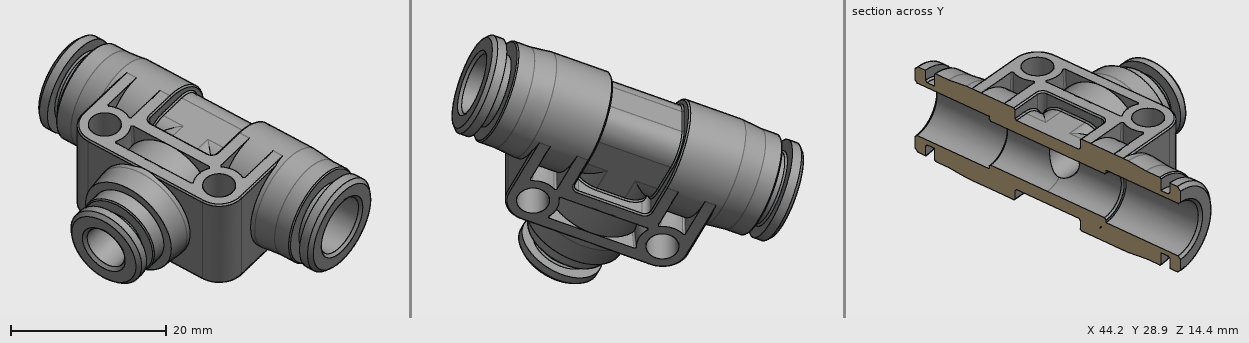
import cadquery as cq

run_reach = 22.1
branch_reach = 21.7

body_radius = 7.2
body_reach = 13.45
body_root = 11.9
cone_reach = 16.4
cone_end_radius = 6.9
edge_break = 0.2

hole_offset = 9.2
hole_radius = 2.1
boss_radius = 3.6
boss_wall_radius = 3.35
block_half = hole_offset + boss_radius

core_half = 5.45
core_corner = 3.45
core_flare = 0.2
flare_slope = 45
core_length = 7.05
waist_half = 5.4
waist_corner = 0.9

pocket_draft = 4.5
pocket_corner = 0.2
leg_pocket_inner = 7.2
leg_pocket_outer = 11.0
front_pocket_near = 7.2
front_pocket_far = 11.0

collar_chamfer = 0.55
rim_chamfer = 0.18
neck_foot = 0.25
run_collar_width = 1.8
run_collar_radius = 6.7
run_neck_radius = 4.9
run_neck_base = 18.85
branch_collar_radius = 5.7
branch_neck_radius = 3.9
branch_collar_width = 1.6
branch_neck_base = 18.6

socket_floor = 9.72
run_mouth_radius = 4.45
run_socket_radius = 4.05
run_bore_radius = 3.4
branch_mouth_radius = 3.45
branch_socket_radius = 3.0
branch_bore_radius = 2.48
bore_lead = 0.25


def turn(points):
    """Revolve (radius, distance) points about the Z axis."""
    return cq.Workplane("XZ").polyline(points).close().revolve(360, (0, 0, 0), (0, 1, 0))


def to_right(shape):
    return shape.rotate((0, 0, 0), (0, 1, 0), 90)


def to_left(shape):
    return shape.rotate((0, 0, 0), (0, 1, 0), -90)


def to_front(shape):
    return shape.rotate((0, 0, 0), (1, 0, 0), 90)


def body_and_taper():
    """End of a port cylinder and the taper beyond it, pointing up Z."""
    return turn([
        (0, body_root),
        (body_radius, body_root),
        (body_radius, body_reach),
        (cone_end_radius, cone_reach),
        (0, cone_reach),
    ])


def sleeve_and_collar(sleeve_radius, neck_base, neck_radius, collar_radius, collar_width, reach):
    """Sleeve, neck and release collar of one port, pointing up Z."""
    collar_back = reach - collar_width
    return turn([
        (0, body_reach),
        (sleeve_radius, body_reach),
        (sleeve_radius, neck_base - rim_chamfer),
        (sleeve_radius - rim_chamfer, neck_base),
        (neck_radius, neck_base),
        (neck_radius, collar_back - neck_foot),
        (neck_radius + neck_foot, collar_back),
        (collar_radius, collar_back),
        (collar_radius, reach - collar_chamfer),
        (collar_radius - collar_chamfer, reach),
        (0, reach),
    ])


def port_bore(mouth_radius, socket_radius, bore_radius, reach):
    """Tube socket with a flared mouth, stepping down to a through bore, pointing up Z."""
    return turn([
        (0, 0),
        (bore_radius, 0),
        (bore_radius, socket_floor - bore_lead),
        (bore_radius + bore_lead, socket_floor),
        (socket_radius, socket_floor),
        (socket_radius, reach - (mouth_radius - socket_radius)),
        (mouth_radius, reach),
        (0, reach),
    ])


def both_sides(shape):
    """Add the mirror image across the middle plane."""
    return shape.union(shape.mirror("YZ"))


def rounded_square(growth=0):
    """Core section, grown outwards on all sides."""
    side = 2 * (core_half + growth)
    return cq.Sketch().rect(side, side).vertices().fillet(core_corner + growth)


def core_bar(length):
    """Rounded square bar standing up Z, flared where it enters the waist wall."""
    bar = cq.Workplane("XY").placeSketch(rounded_square()).extrude(length)
    flare = (
        cq.Workplane("XY", origin=(0, 0, waist_half))
        .placeSketch(rounded_square(core_flare))
        .extrude(-core_flare, taper=flare_slope)
    )
    return bar.union(flare)


def waist():
    """Gap between the two run bodies, opening to the back."""
    depth = body_radius + waist_half
    gap = cq.Workplane("XY", origin=(0, depth / 2 - waist_half, 0))
    gap = gap.box(2 * waist_half, depth, 2 * body_radius)
    return gap.edges("|Z and <Y").fillet(waist_corner)


def mounting_block():
    """Block with a round back and a waist, its top and bottom rims softened."""
    block = (
        cq.Workplane("YZ", origin=(-block_half, 0, 0))
        .moveTo(-block_half, -body_radius)
        .lineTo(0, -body_radius)
        .threePointArc((body_radius, 0), (0, body_radius))
        .lineTo(-block_half, body_radius)
        .close()
        .extrude(2 * block_half)
    )
    block = block.edges("|Z and <Y").fillet(boss_radius)
    block = block.cut(waist())
    rims = block.faces("<Z or >Z").edges("not (|X and >Y)")
    return rims.chamfer(edge_break)


def boss_wall():
    """Drafted wall kept round the right hole."""
    return (
        cq.Workplane("XY", origin=(hole_offset, -hole_offset, body_radius))
        .circle(boss_wall_radius)
        .extrude(-body_radius, taper=-pocket_draft)
    )


def round_boss_corners(pocket):
    """Round the slanting edges where the flat pocket walls meet the boss walls."""
    return pocket.edges("not (%LINE or %CIRCLE)").fillet(pocket_corner)


def leg_pocket():
    """Pocket between the two legs beside the right hole, cut from the top."""
    width = leg_pocket_outer - leg_pocket_inner
    middle = leg_pocket_inner + width / 2
    pocket = (
        cq.Workplane("XY", origin=(middle, -hole_offset / 2, body_radius))
        .rect(width, hole_offset)
        .extrude(-body_radius, taper=pocket_draft)
    )
    return round_boss_corners(pocket.cut(boss_wall()))


def front_pocket():
    """Pocket over the branch between the two holes, cut from the top."""
    depth = front_pocket_far - front_pocket_near
    pocket = (
        cq.Workplane("XY", origin=(0, -front_pocket_near - depth / 2, body_radius))
        .rect(2 * hole_offset, depth)
        .extrude(-body_radius, taper=pocket_draft)
    )
    return round_boss_corners(pocket.cut(both_sides(boss_wall())))


port_cylinder = cq.Workplane("XY").circle(body_radius).extrude(body_reach)
leg_pockets = both_sides(leg_pocket().cut(to_right(port_cylinder)))
branch_pocket = front_pocket().cut(to_front(port_cylinder))

body = mounting_block()
for pocket in (leg_pockets, branch_pocket):
    body = body.cut(pocket).cut(pocket.mirror("XY"))
holes = (
    cq.Workplane("XY", origin=(0, 0, -body_radius))
    .pushPoints([(-hole_offset, -hole_offset), (hole_offset, -hole_offset)])
    .circle(hole_radius)
    .extrude(2 * body_radius)
)
body = body.cut(holes)

core = both_sides(to_right(core_bar(core_length))).union(to_front(core_bar(core_length)))
body = body.union(core)

run_port = body_and_taper().union(
    sleeve_and_collar(
        sleeve_radius=cone_end_radius,
        neck_base=run_neck_base,
        neck_radius=run_neck_radius,
        collar_radius=run_collar_radius,
        collar_width=run_collar_width,
        reach=run_reach,
    )
)
branch_port = body_and_taper().union(
    sleeve_and_collar(
        sleeve_radius=branch_collar_radius,
        neck_base=branch_neck_base,
        neck_radius=branch_neck_radius,
        collar_radius=branch_collar_radius,
        collar_width=branch_collar_width,
        reach=branch_reach,
    )
)
body = body.union(both_sides(to_left(run_port))).union(to_front(branch_port))

run_bore = port_bore(run_mouth_radius, run_socket_radius, run_bore_radius, run_reach)
branch_bore = port_bore(branch_mouth_radius, branch_socket_radius, branch_bore_radius, branch_reach)
body = body.cut(both_sides(to_right(run_bore)))
result = body.cut(to_front(branch_bore))